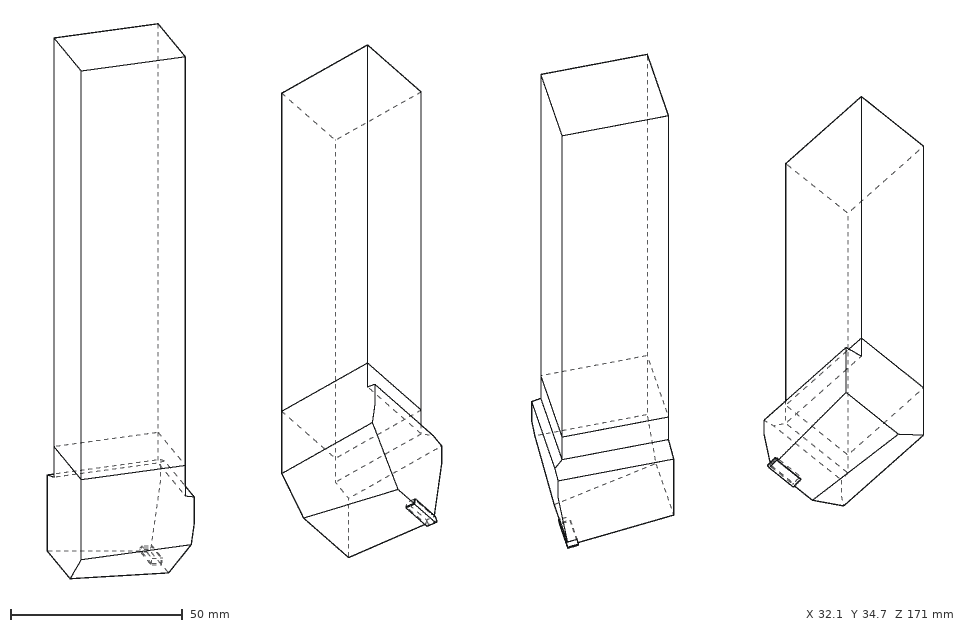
import cadquery as cq
import math

total_length = 171.0
total_width = 32.1
shank_width = 25.0
shank_depth = 32.0
joint_height = 40.9

clearance_angle = 8.0
head_side = 1.0
head_back = 2.7
shoulder_height = 31.1
side_shoulder_drop = 1.9
back_shoulder_drop = 0.7
corner_height = 15.4
corner_foot = 17.6
insert_projection = 0.5
insert_overhang = 0.3

insert_length = 10.3
insert_height = 2.0
insert_depth = 3.2
insert_top_bevel = 1.0
insert_tip_bevel = 0.5

shank_side = total_width - shank_width
slope = math.tan(math.radians(clearance_angle))
bottom_rise = shank_depth * slope


def make_shank():
    """Plain rectangular bar standing on the head."""
    return (
        cq.Workplane("XY", origin=(shank_side, -shank_depth, joint_height))
        .box(shank_width, shank_depth, total_length - joint_height, centered=False)
    )


def make_insert():
    """Small bar with a bevelled outer end, tilted about X at the cutting edge."""
    return (
        cq.Workplane("XZ")
        .moveTo(insert_tip_bevel, 0)
        .lineTo(insert_length, 0)
        .lineTo(insert_length, insert_height)
        .lineTo(insert_top_bevel, insert_height)
        .lineTo(0, insert_height - insert_top_bevel)
        .lineTo(0, insert_tip_bevel)
        .close()
        .extrude(insert_depth)
        .rotate((0, 0, 0), (1, 0, 0), -clearance_angle)
    )


def make_head(insert):
    """Intersection of the front and side outlines, with a seat for the insert."""
    front_outline = (
        cq.Workplane("XZ", origin=(0, head_back, 0))
        .moveTo(shank_side, joint_height)
        .lineTo(total_width, joint_height)
        .lineTo(total_width, corner_height)
        .lineTo(corner_foot, insert_projection)
        .lineTo(corner_foot, 0)
        .lineTo(head_side, 0)
        .lineTo(head_side, shoulder_height - side_shoulder_drop)
        .lineTo(shank_side, shoulder_height)
        .close()
        .extrude(shank_depth + head_back)
    )
    side_outline = (
        cq.Workplane("YZ")
        .moveTo(-shank_depth, joint_height)
        .lineTo(0, joint_height)
        .lineTo(0, shoulder_height)
        .lineTo(head_back, shoulder_height - back_shoulder_drop)
        .lineTo(head_back, (head_back + insert_overhang) / slope)
        .lineTo(insert_projection * slope - insert_overhang, insert_projection)
        .lineTo(-shank_depth, insert_projection + bottom_rise)
        .close()
        .extrude(total_width)
    )
    return front_outline.intersect(side_outline).cut(insert)


shank = make_shank()
insert = make_insert()
head = make_head(insert)

result = cq.Compound.makeCompound([shank.val(), head.val(), insert.val()])